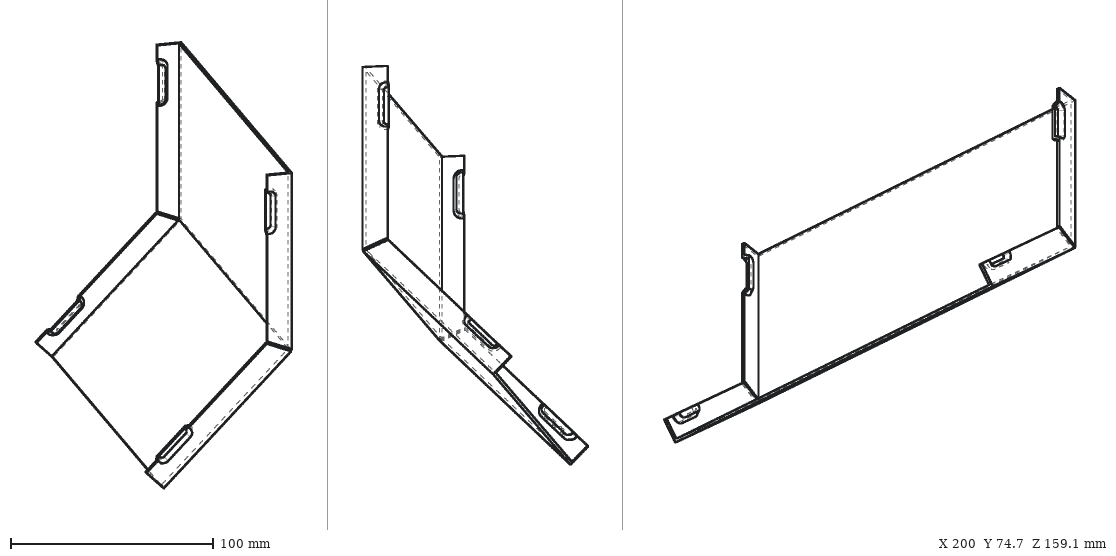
import cadquery as cq
import math

width = 200.0
leg_length = 93.2
flange_depth = 12.5
sheet = 1.5
fold_angle = 45.0
corner_gap = 1.0

dent_start = 8.5
dent_length = 22.5
dent_reach = 4.2
dent_depth = 2.9
dent_draft = 1.9
dent_corner = 3.2
dent_wall = 1.1

half_width = width / 2
half_angle = math.radians(fold_angle / 2)
dent_taper = math.degrees(math.atan2(dent_draft, dent_depth))


def miter_z(y):
    """Height of the bisecting plane between the legs at depth y."""
    return -y * math.tan(half_angle)


def leg_slab(depth, x_start, thickness):
    """Plate running up a leg, mitered at the knee and extruded along X."""
    return (
        cq.Workplane("YZ", origin=(x_start, 0, 0))
        .polyline([(0, 0), (0, leg_length), (-depth, leg_length), (-depth, miter_z(-depth))])
        .close()
        .extrude(thickness)
    )


def dent_form(growth, x_start):
    """Tapered pad pressed in from the left flange, running past its free edge."""
    length = dent_length + 2 * growth
    reach = dent_reach + growth
    center_z = leg_length - dent_start - dent_length / 2
    return (
        cq.Workplane("YZ", origin=(x_start, -flange_depth, center_z))
        .sketch()
        .rect(2 * reach, length)
        .vertices()
        .fillet(dent_corner + growth)
        .finalize()
        .extrude(dent_depth, taper=dent_taper)
    )


def left_flange():
    """Side flange with its dent, held back from the miter by half the gap."""
    flange = leg_slab(flange_depth, -half_width, sheet)
    beyond_edge = cq.Workplane("XY").box(
        width, flange_depth, leg_length, centered=(True, False, False)
    ).translate((0, -2 * flange_depth, 0))
    bump = dent_form(dent_wall, -half_width + sheet).cut(beyond_edge)
    flange = flange.union(bump).cut(dent_form(0, -half_width))

    gap_tool = (
        cq.Workplane("XY")
        .box(width, 4 * flange_depth, corner_gap)
        .rotate((0, 0, 0), (1, 0, 0), -fold_angle / 2)
    )
    return flange.cut(gap_tool)


back = leg_slab(sheet, -half_width + sheet, width - 2 * sheet)
flange = left_flange()
upper_leg = back.union(flange).union(flange.mirror("YZ"))

lower_leg = upper_leg.mirror("XY").rotate((0, 0, 0), (1, 0, 0), -fold_angle)

result = upper_leg.union(lower_leg)